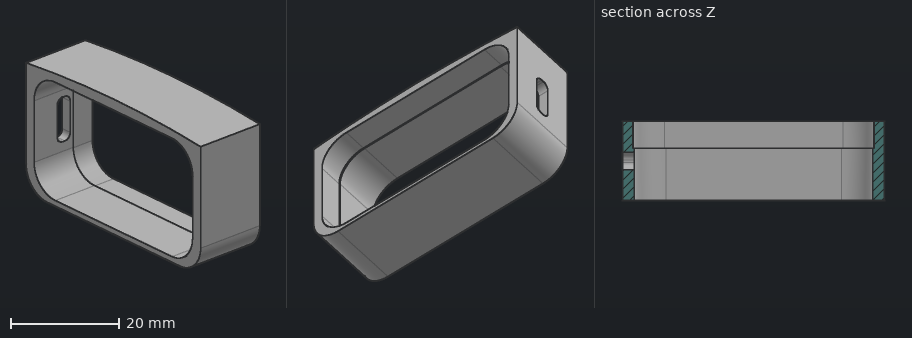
import cadquery as cq

width = 48.5
depth = 14.7
height = 27.68

crown_rise = 1.18
outer_corner_radius = 5.8
shoulder_height = height - crown_rise

side_wall = 2.25
floor_thickness = 1.2
roof_thickness = 2.3
inner_corner_radius = 5.8
opening_width = width - 2 * side_wall
opening_height = height - floor_thickness - roof_thickness
opening_centre_z = floor_thickness + opening_height / 2

step_offset = 0.25
step_depth = 5.0

slot_width = 3.2
slot_length = 9.1
slot_corner_radius = 1.35
slot_centre_z = 13.45


def make_body():
    """Solid block with a gently crowned top and rounded lower corners."""
    profile = (
        cq.Workplane("XZ")
        .moveTo(-width / 2, 0)
        .lineTo(width / 2, 0)
        .lineTo(width / 2, shoulder_height)
        .threePointArc((0, height), (-width / 2, shoulder_height))
        .close()
    )
    block = profile.extrude(depth / 2, both=True)
    return block.edges("|Y and <Z").fillet(outer_corner_radius)


def make_rounded_passage(offset, length):
    """Rounded passage along Y with each wall moved outward by offset."""
    return (
        cq.Workplane("XY")
        .box(opening_width + 2 * offset, length, opening_height + 2 * offset)
        .edges("|Y")
        .fillet(inner_corner_radius)
        .translate((0, 0, opening_centre_z))
    )


def make_opening():
    """Through passage with a slightly larger stretch at the +Y end."""
    passage = make_rounded_passage(0, depth)
    step = make_rounded_passage(step_offset, step_depth)
    return passage.union(step.translate((0, (depth - step_depth) / 2, 0)))


def make_slot():
    """Upright rounded slot reaching from the -X face into the opening."""
    return (
        cq.Workplane("XY")
        .box(2 * side_wall, slot_width, slot_length)
        .edges("|X")
        .fillet(slot_corner_radius)
        .translate((-width / 2, 0, slot_centre_z))
    )


result = make_body().cut(make_opening()).cut(make_slot())